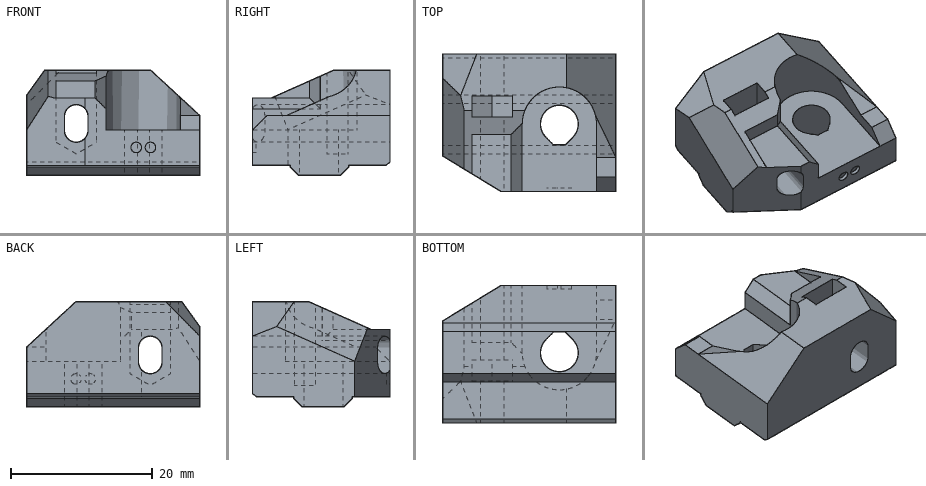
import cadquery as cq
import math

length = 24.5
depth = 19.5
height = 14.9
base_z = 1.42
over = 2.45
tall = 2 * height

rail_front, rail_back = 5.35, 13.67
rail_chamfer = 1.18

corner_x, corner_y = 8.25, 5.02
back_edge_y, back_edge_z = 0.6, 0.45
top_slope = math.tan(math.radians(24))
top_slope_start = 11.52
left_slope = math.tan(math.radians(61.3))
left_ridge_x = 3.05
rear_ridge_x = 4.83
rear_slope_x = math.tan(math.radians(45.3))
rear_slope_y = math.tan(math.radians(21.4))
right_slope_start = 17.55

recess_x, recess_y = 16.51, 9.55
recess_radius = 10.5 / 2
recess_floor = 6.4
hole_radius = 5.32 / 2
hole_flat = 2.92

shoulder_z = 8.48
shoulder_y = 4.85
shoulder_angle = math.radians(30)

shelf_x = 4.12
shelf_y = 8.08
shelf_z = 10.95
shelf_chamfer = 1.57

slot_width = 3.3
slot_x = 7.0
slot_bottom, slot_top = 4.7, 10.0
nut_width = 5.75
nut_front, nut_back = 10.58, 13.52

pin_diameter = 1.5
pin_depth = 0.5
pin_z = 3.95
pin_places = (15.5, 17.52)


def box(x0, x1, y0, y1, z0, z1):
    return cq.Workplane("XY").box(x1 - x0, y1 - y0, z1 - z0, centered=False).translate((x0, y0, z0))


def along_x(points, x0, x1):
    """Prism of a (y, z) outline between two x positions."""
    return cq.Workplane("YZ", origin=(x0, 0, 0)).polyline(points).close().extrude(x1 - x0)


def along_y(points, y0, y1):
    """Prism of an (x, z) outline between two y positions."""
    return cq.Workplane("XZ", origin=(0, y0, 0)).polyline(points).close().extrude(y0 - y1)


def space_above(point, slope_x, slope_y):
    """Large box resting on the plane through point that rises by the given slopes."""
    plane = cq.Plane(origin=point, xDir=(1, 0, slope_x), normal=(-slope_x, -slope_y, 1))
    return cq.Workplane(plane).rect(4 * length, 4 * length).extrude(2 * length)


def block():
    side = [
        (0, base_z),
        (rail_front, base_z),
        (rail_front, rail_chamfer),
        (rail_front + rail_chamfer, 0),
        (rail_back - rail_chamfer, 0),
        (rail_back, rail_chamfer),
        (rail_back, base_z),
        (depth - back_edge_y, base_z),
        (depth, base_z + back_edge_z),
        (depth, height),
        (0, height),
    ]
    corner = cq.Workplane("XY").polyline([(0, 0), (corner_x, 0), (0, corner_y)]).close().extrude(tall)
    return along_x(side, 0, length).cut(corner)


def sloped_faces(body):
    front = space_above((0, top_slope_start, height), 0, top_slope)
    left = space_above((left_ridge_x, top_slope_start, height), left_slope, top_slope)
    rear = space_above((rear_ridge_x, depth, height), rear_slope_x, -rear_slope_y)
    right_fall = (height - shoulder_z) / (length - right_slope_start)
    right = space_above((right_slope_start, 0, height), -right_fall, 0)
    front_left = front.intersect(box(-over, recess_x, -over, depth, shelf_z, tall))
    return body.cut(front_left).cut(left).cut(rear).cut(right)


def recess():
    channel = box(recess_x - recess_radius, recess_x + recess_radius, -over, recess_y, recess_floor, tall)
    round_end = cq.Workplane("XY", origin=(recess_x, recess_y, recess_floor)).circle(recess_radius).extrude(tall)
    return channel.union(round_end)


def through_hole():
    """Round hole whose front side narrows at 45 degrees to a short flat."""
    tangent = hole_radius / math.sqrt(2)
    half_flat = hole_radius * math.sqrt(2) - hole_flat
    return (
        cq.Workplane("XY", origin=(recess_x, recess_y, -over))
        .moveTo(-tangent, -tangent)
        .threePointArc((0, hole_radius), (tangent, -tangent))
        .lineTo(half_flat, -hole_flat)
        .lineTo(-half_flat, -hole_flat)
        .close()
        .extrude(tall)
    )


def shoulder():
    """Rising slope, level step and front bevel on the right of the recess."""
    rise_end = recess_y + recess_radius * math.sin(shoulder_angle)
    bevel = shoulder_z - recess_floor
    points = [
        (0, recess_floor),
        (bevel, shoulder_z),
        (shoulder_y, shoulder_z),
        (rise_end, shoulder_z + (rise_end - shoulder_y) * top_slope),
        (rise_end, tall),
        (0, tall),
    ]
    inner_x = recess_x + recess_radius * math.cos(shoulder_angle)
    return along_x(points, inner_x, length + over)


def shelf():
    """Level shelf whose edges toward the recess are bevelled at 45 degrees."""
    right = recess_x - recess_radius
    bevel_x = right - shelf_chamfer
    level = box(shelf_x, bevel_x, -over, shelf_y, shelf_z, tall)
    lip = [(bevel_x, shelf_z), (right, shelf_z - shelf_chamfer), (right, tall), (bevel_x, tall)]
    plan = [(bevel_x, -over), (right, -over), (right, shelf_y + shelf_chamfer), (bevel_x, shelf_y)]
    bevel = along_y(lip, -over, depth).intersect(cq.Workplane("XY").polyline(plan).close().extrude(tall))
    return level.union(bevel)


def slot():
    return (
        cq.Workplane("XZ", origin=(slot_x, -over, (slot_bottom + slot_top) / 2))
        .slot2D(slot_top - slot_bottom, slot_width, 90)
        .extrude(-(depth + 2 * over))
    )


def nut_trap():
    """Pocket from the top with the V floor of a hexagon centred on the slot's lower end."""
    half = nut_width / 2
    hex_angle = math.radians(30)
    seat_z = slot_bottom + slot_width / 2
    flank_z = seat_z - half * math.tan(hex_angle)
    point_z = seat_z - half / math.cos(hex_angle)
    points = [
        (slot_x - half, tall),
        (slot_x - half, flank_z),
        (slot_x, point_z),
        (slot_x + half, flank_z),
        (slot_x + half, tall),
    ]
    return along_y(points, nut_front, nut_back)


def pin_holes():
    places = [(x, pin_z) for x in pin_places]
    return cq.Workplane("XZ").pushPoints(places).circle(pin_diameter / 2).extrude(-pin_depth)


result = sloped_faces(block())
for cutter in (recess(), through_hole(), shoulder(), shelf(), slot(), nut_trap(), pin_holes()):
    result = result.cut(cutter)